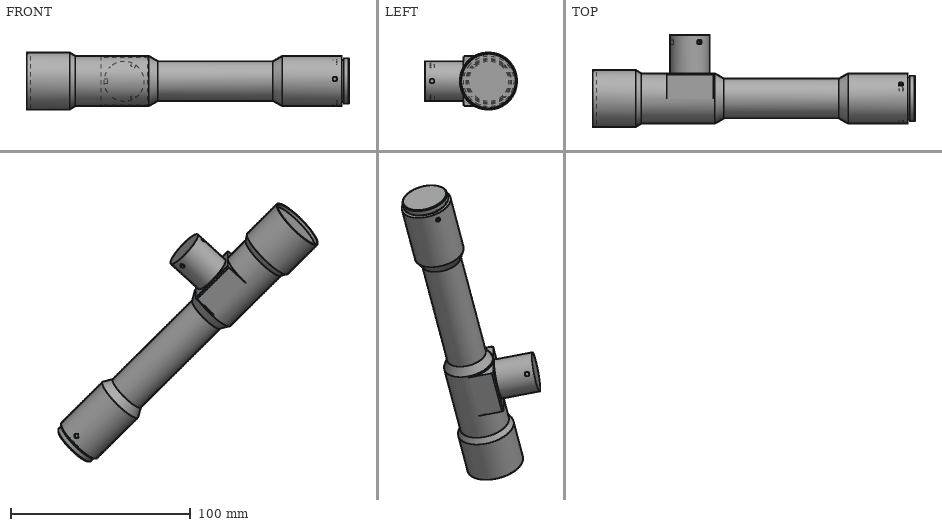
import cadquery as cq
import math

total_length = 179.5
objective_radius = 16.0
objective_end = 23.9
body_radius = 14.0
body_start = 27.1
body_end = 68.0
neck_radius = 11.1
neck_start = 73.0
neck_end = 137.0
rear_start = 142.1
collar_end = 175.3

ring_start = 176.2
ring_radius = 12.7
ring_chamfer = 0.5
groove_radius = 11.8

seat_radius = 15.0
seat_depth = 2.0

port_x = 54.0
port_radius = 11.1
port_end = 35.4
block_start = 41.3
block_end = 67.1
block_reach = body_radius
block_chamfer = 0.9

screw_count = 3
screw_diameter = 2.5
screw_depth = 1.8
collar_screw_x = 171.4
collar_screw_angle = 5.0
port_screw_setback = 4.0
port_screw_y = port_end - port_screw_setback


def make_body():
    profile = [
        (0, 0),
        (0, objective_radius),
        (objective_end, objective_radius),
        (body_start, body_radius),
        (body_end, body_radius),
        (neck_start, neck_radius),
        (neck_end, neck_radius),
        (rear_start, body_radius),
        (collar_end, body_radius),
        (collar_end, groove_radius),
        (ring_start, groove_radius),
        (ring_start, ring_radius),
        (total_length - ring_chamfer, ring_radius),
        (total_length, ring_radius - ring_chamfer),
        (total_length, 0),
    ]
    return cq.Workplane("XY").polyline(profile).close().revolve(360, (0, 0, 0), (1, 0, 0))


def make_block():
    block = cq.Workplane("XY").box(
        block_end - block_start, block_reach, 2 * body_radius, centered=(False, False, True)
    )
    return block.edges("|X and >Y").chamfer(block_chamfer).translate((block_start, 0, 0))


def make_port():
    return cq.Workplane("XZ").center(port_x, 0).circle(port_radius).extrude(-port_end)


def make_seat():
    return cq.Workplane("YZ").circle(seat_radius).extrude(seat_depth)


def screw_hole(center, direction, tube_radius):
    """Blind hole entering a tube radially; center lies on the tube axis."""
    floor = center + direction * (tube_radius - screw_depth)
    return cq.Workplane(cq.Solid.makeCylinder(screw_diameter / 2, 2 * screw_depth, floor, direction))


result = make_body().union(make_block()).union(make_port()).cut(make_seat())

for index in range(screw_count):
    turn = 360 / screw_count * index

    angle = math.radians(180 - collar_screw_angle + turn)
    outward = cq.Vector(0, math.cos(angle), math.sin(angle))
    result = result.cut(screw_hole(cq.Vector(collar_screw_x, 0, 0), outward, body_radius))

    angle = math.radians(180 + turn)
    outward = cq.Vector(math.cos(angle), 0, math.sin(angle))
    result = result.cut(screw_hole(cq.Vector(port_x, port_screw_y, 0), outward, port_radius))